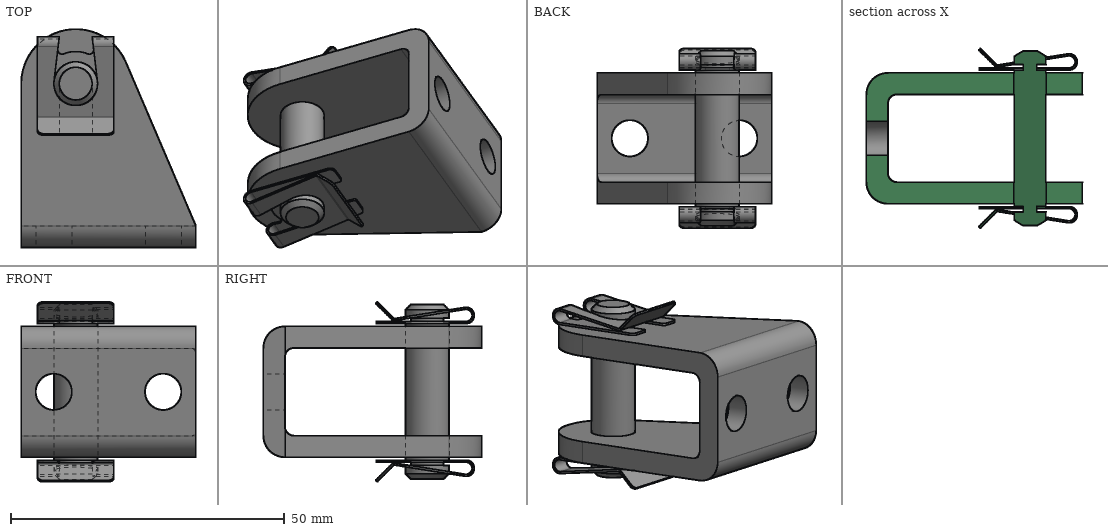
import cadquery as cq
import math


bracket_height = 24.0
plate_thickness = 4.0
outer_bend_radius = 4.0
inner_bend_radius = 1.6
lobe_radius = 10.0
base_width = 32.0
base_face_y = -30.0
left_x = -lobe_radius
right_x = left_x + base_width
mount_hole_diameter = 6.6
mount_hole_spacing = 20.0
mount_hole_mid_x = (left_x + right_x) / 2

pin_diameter = 8.0
pin_length = 32.0
pin_chamfer = 1.0
groove_diameter = 6.0
groove_width = 1.0
groove_start_z = 12.5

clip_width = 14.0
clip_thickness = 0.4
clip_base_z = groove_start_z
clip_end_y = -9.35
loop_height = 3.0
loop_outer_radius = loop_height / 2
loop_inner_radius = loop_outer_radius - clip_thickness
loop_center_y = 7.1
loop_center_z = clip_base_z + loop_outer_radius
leg_angle = math.radians(9)
knee_y = -6.1
knee_inner_radius = 0.25
tail_angle = math.radians(45)
tail_length = 4.3
clip_corner_radius = 1.0
slot_mouth_radius = 0.5
loop_gap_width = 6.0
loop_gap_end_y = loop_center_y + loop_outer_radius
loop_gap_floor_radius = 5.9
loop_gap_corner_radius = 0.8


def tangent_point(radius, x, y):
    """Right-hand point where a line from (x, y) touches a circle about the origin."""
    side = 1 if y < 0 else -1
    angle = math.atan2(y, x) + side * math.acos(radius / math.hypot(x, y))
    return radius * math.cos(angle), radius * math.sin(angle)


def make_bracket():
    """U-bracket with rounded, tapered arms and a drilled base."""
    half_height = bracket_height / 2
    base_inner_y = base_face_y + plate_thickness
    arm_length = lobe_radius - base_face_y
    depth = lobe_radius - base_inner_y
    body = (
        cq.Workplane("XY")
        .box(base_width, arm_length, bracket_height, centered=False)
        .translate((left_x, base_face_y, -half_height))
        .edges("|X and <Y")
        .fillet(outer_bend_radius)
    )
    opening = (
        cq.Workplane("XY")
        .box(base_width, depth, bracket_height - 2 * plate_thickness, centered=False)
        .translate((left_x, base_inner_y, plate_thickness - half_height))
        .edges("|X and <Y")
        .fillet(inner_bend_radius)
    )
    taper_start_y = base_face_y + outer_bend_radius
    outline = (
        cq.Workplane("XY")
        .moveTo(left_x, base_face_y)
        .lineTo(right_x, base_face_y)
        .lineTo(right_x, taper_start_y)
        .lineTo(*tangent_point(lobe_radius, right_x, taper_start_y))
        .threePointArc((0, lobe_radius), (left_x, 0))
        .close()
        .extrude(half_height, both=True)
    )
    pin_hole = cq.Workplane("XY").circle(pin_diameter / 2).extrude(half_height, both=True)
    half_spacing = mount_hole_spacing / 2
    mount_holes = (
        cq.Workplane("XZ", origin=(0, base_inner_y, 0))
        .pushPoints([(mount_hole_mid_x - half_spacing, 0), (mount_hole_mid_x + half_spacing, 0)])
        .circle(mount_hole_diameter / 2)
        .extrude(plate_thickness)
    )
    return body.cut(opening).intersect(outline).cut(pin_hole).cut(mount_holes)


def make_pin():
    """Chamfered pin with a clip groove near each end."""
    pin = (
        cq.Workplane("XY")
        .circle(pin_diameter / 2)
        .extrude(pin_length / 2, both=True)
        .faces("<Z or >Z")
        .chamfer(pin_chamfer)
    )
    groove = (
        cq.Workplane("XY", origin=(0, 0, groove_start_z))
        .circle(pin_diameter / 2)
        .circle(groove_diameter / 2)
        .extrude(groove_width)
    )
    return pin.cut(groove).cut(groove.mirror("XY"))


def make_clip_strip():
    """Bent strip: flat base, loop, sloping leg and upturned tail, at full width."""
    leg_normal = (-math.sin(leg_angle), math.cos(leg_angle))
    tail = (-math.cos(tail_angle), math.sin(tail_angle))
    tail_normal = (math.sin(tail_angle), math.cos(tail_angle))

    def on_loop(radius):
        return loop_center_y + radius * leg_normal[0], loop_center_z + radius * leg_normal[1]

    leg_top = on_loop(loop_outer_radius)
    leg_bottom = on_loop(loop_inner_radius)
    knee_top = (knee_y, leg_top[1] - (leg_top[0] - knee_y) * math.tan(leg_angle))

    mitre_scale = clip_thickness / (1 + leg_normal[0] * tail_normal[0] + leg_normal[1] * tail_normal[1])
    knee_bottom = tuple(k - mitre_scale * (a + b) for k, a, b in zip(knee_top, leg_normal, tail_normal))
    tip_top = tuple(k + tail_length * t for k, t in zip(knee_top, tail))
    tip_bottom = tuple(p - clip_thickness * n for p, n in zip(tip_top, tail_normal))

    strip = (
        cq.Workplane("YZ")
        .moveTo(clip_end_y, clip_base_z)
        .lineTo(loop_center_y, clip_base_z)
        .threePointArc((loop_center_y + loop_outer_radius, loop_center_z), leg_top)
        .lineTo(*knee_top)
        .lineTo(*tip_top)
        .lineTo(*tip_bottom)
        .lineTo(*knee_bottom)
        .lineTo(*leg_bottom)
        .threePointArc(
            (loop_center_y + loop_inner_radius, loop_center_z),
            (loop_center_y, clip_base_z + clip_thickness),
        )
        .lineTo(clip_end_y, clip_base_z + clip_thickness)
        .close()
        .extrude(clip_width / 2, both=True)
    )
    knee_outer_radius = knee_inner_radius + clip_thickness
    for corner, radius in ((knee_top, knee_inner_radius), (knee_bottom, knee_outer_radius)):
        strip = strip.edges(cq.selectors.NearestToPointSelector((0, *corner))).fillet(radius)

    tip_middle = tuple((a + b) / 2 for a, b in zip(tip_top, tip_bottom))
    base_end_middle = (clip_end_y, clip_base_z + clip_thickness / 2)
    for end in (tip_middle, base_end_middle):
        for x in (-clip_width / 2, clip_width / 2):
            corner_edge = cq.selectors.NearestToPointSelector((x, *end))
            strip = strip.edges(corner_edge).fillet(clip_corner_radius)
    return strip


def make_loop_gap(height):
    """Tapered gap that splits the loop, ending in an arc around the pin."""
    half_gap = loop_gap_width / 2
    touch_x, touch_y = tangent_point(pin_diameter / 2, half_gap, loop_gap_end_y)
    wedge = (
        cq.Workplane("XY", origin=(0, 0, clip_base_z))
        .polyline([
            (-touch_x, touch_y),
            (touch_x, touch_y),
            (half_gap, loop_gap_end_y),
            (-half_gap, loop_gap_end_y),
        ])
        .close()
        .extrude(height)
    )
    floor = cq.Workplane("XY", origin=(0, 0, clip_base_z)).circle(loop_gap_floor_radius).extrude(height)
    base_gap = wedge.cut(floor).edges("|Z and (not >Y)").fillet(loop_gap_corner_radius)
    leg_gap = wedge.intersect(
        cq.Workplane("XY", origin=(0, 0, loop_center_z))
        .rect(pin_diameter, 2 * loop_gap_end_y)
        .extrude(height)
    )
    return base_gap.union(leg_gap)


def make_clip():
    """Spring clip whose slotted base grips the pin groove and whose leg rings the pin head."""
    height = pin_length / 2 - clip_base_z
    head_hole = (
        cq.Workplane("XY", origin=(0, 0, clip_base_z + clip_thickness))
        .circle(pin_diameter / 2)
        .extrude(height)
    )
    slot = (
        cq.Workplane("XY", origin=(0, 0, clip_base_z))
        .moveTo(-groove_diameter / 2, clip_end_y)
        .lineTo(-groove_diameter / 2, 0)
        .threePointArc((0, groove_diameter / 2), (groove_diameter / 2, 0))
        .lineTo(groove_diameter / 2, clip_end_y)
        .close()
        .extrude(clip_thickness)
    )
    clip = make_clip_strip().cut(make_loop_gap(height)).cut(head_hole).cut(slot)
    for x in (-groove_diameter / 2, groove_diameter / 2):
        mouth = (x, clip_end_y, clip_base_z + clip_thickness / 2)
        clip = clip.edges(cq.selectors.NearestToPointSelector(mouth)).fillet(slot_mouth_radius)
    return clip


bracket = make_bracket()
pin = make_pin()
upper_clip = make_clip()
clips = [upper_clip, upper_clip.mirror("XY")]

result = cq.Compound.makeCompound([bracket.val(), pin.val(), *[clip.val() for clip in clips]])